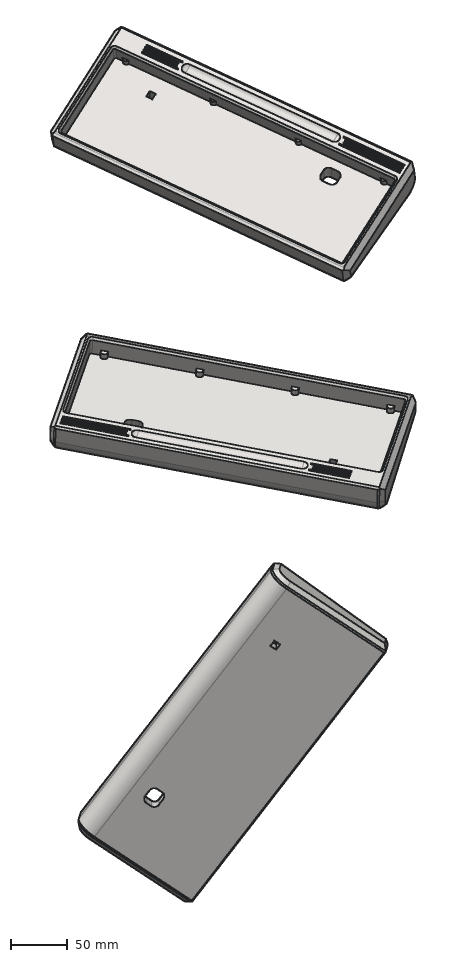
import cadquery as cq
import math

width = 304.0
tilt = 7.1
front_height = 21.0
top_depth = 124.5
back_bottom_radius = 16.7
side_chamfer = 5.0
side_edge_break = 1.03
back_chamfer = 1.8
bottom_chamfer = 1.0

pocket_side_wall = 8.8
pocket_front = 6.7
pocket_back = 102.5
pocket_depth = 18.5
pocket_corner_radius = 1.8
pocket_chamfer = 1.98

bevel_drop = 1.5
bevel_step = 3.0
bevel_step_drop = 0.35

post_radius = 3.3
post_height = 6.0
post_spacing = 86.5
posts_per_row = 4
front_post_reach = 4.3
back_post_reach = 2.0
back_left_post_shift = -2.0

square_hole_size = 6.0
square_hole_x = -96.0
square_hole_y = 85.7
port_length = 16.5
port_width = 14.5
port_radius = 5.0
port_x = 84.8
port_y = 88.0

strip_center = 113.7
groove_diameter = 13.0
groove_width = 9.5
groove_straight = 150.2
stripe_width = 1.0
stripe_depth = 1.0
stripe_pitch = 2.68
stripes_per_side = 4
stripe_inner_end = 81.8
short_stripe_inner_end = 84.5
right_stripe_outer_end = 143.5
left_stripe_outer_end = -118.5

slope_sin = math.sin(math.radians(tilt))
slope_cos = math.cos(math.radians(tilt))
top_plane = cq.Plane(
    origin=(0, 0, front_height), xDir=(1, 0, 0), normal=(0, -slope_sin, slope_cos)
)


def break_side_edges(body):
    """Chamfer the back and bottom edges where the end chamfers begin."""
    edge_x = width / 2 - side_chamfer
    tolerance = 0.3
    for x in (-edge_x, edge_x):
        back_and_bottom = cq.selectors.BoxSelector(
            (x - tolerance, top_depth / 4, -tolerance),
            (x + tolerance, top_depth * 2, front_height),
        )
        body = body.edges(back_and_bottom).chamfer(side_edge_break)
    return body


def make_body():
    back_top_y = top_depth * slope_cos
    back_top_z = front_height + top_depth * slope_sin
    lean = slope_sin / slope_cos
    body = (
        cq.Workplane("YZ")
        .polyline([
            (front_height * lean, 0),
            (0, front_height),
            (back_top_y, back_top_z),
            (back_top_y + back_top_z * lean, 0),
        ])
        .close()
        .extrude(width / 2, both=True)
    )
    body = body.edges("|X").edges(">Y").fillet(back_bottom_radius)
    body = body.faces("<X or >X").chamfer(side_chamfer)
    body = body.edges("|X").edges(">Z").chamfer(back_chamfer)
    body = break_side_edges(body)
    return body.faces("<Z").edges("|X").edges("<Y").chamfer(bottom_chamfer)


def make_front_bevel():
    rim = pocket_front - pocket_chamfer
    clearance = 3.0
    profile_plane = cq.Plane(
        origin=(0, 0, front_height), xDir=(0, slope_cos, slope_sin), normal=(1, 0, 0)
    )
    return (
        cq.Workplane(profile_plane)
        .polyline([
            (rim, 0),
            (bevel_step, -bevel_step_drop),
            (0, -bevel_drop),
            (-clearance, -bevel_drop),
            (-clearance, clearance),
            (rim, clearance),
        ])
        .close()
        .extrude(width / 2, both=True)
    )


def rounded_rectangle(length, depth, radius):
    return cq.Sketch().rect(length, depth).vertices().fillet(radius)


def make_pocket():
    length = width - 2 * pocket_side_wall
    depth = pocket_back - pocket_front
    center = cq.Workplane(top_plane).center(0, (pocket_front + pocket_back) / 2)
    outline = rounded_rectangle(length, depth, pocket_corner_radius)
    rim = rounded_rectangle(
        length + 2 * pocket_chamfer,
        depth + 2 * pocket_chamfer,
        pocket_corner_radius + pocket_chamfer,
    )
    pocket = center.placeSketch(outline).extrude(-pocket_depth)
    flare = center.placeSketch(rim).extrude(-pocket_chamfer, taper=45)
    return pocket.union(flare)


def make_posts():
    first_x = -post_spacing * (posts_per_row - 1) / 2
    columns = [first_x + i * post_spacing for i in range(posts_per_row)]
    front_y = pocket_front + front_post_reach - post_radius
    back_y = pocket_back - back_post_reach + post_radius
    places = [(x, front_y) for x in columns]
    places += [(x, back_y) for x in columns[1:]]
    places.append((first_x + back_left_post_shift, back_y))
    floor = cq.Workplane(top_plane).workplane(offset=-pocket_depth)
    return floor.pushPoints(places).circle(post_radius).extrude(post_height)


def make_floor_openings():
    square = (
        cq.Workplane("XY")
        .center(square_hole_x, square_hole_y)
        .rect(square_hole_size, square_hole_size)
        .extrude(front_height)
    )
    port = (
        cq.Workplane("XY")
        .center(port_x, port_y)
        .placeSketch(rounded_rectangle(port_length, port_width, port_radius))
        .extrude(front_height)
    )
    return square.union(port)


def make_pen_groove():
    """A round rod with ball ends, its axis a little above the top face."""
    radius = groove_diameter / 2
    axis_height = math.sqrt(radius**2 - (groove_width / 2) ** 2)
    axis_center = top_plane.toWorldCoords((0, strip_center, axis_height))
    half_length = groove_straight / 2
    rod = cq.Workplane("YZ", origin=axis_center).circle(radius).extrude(half_length, both=True)
    for x in (-half_length, half_length):
        rod = rod.union(cq.Workplane(origin=axis_center).center(x, 0).sphere(radius))
    return rod


def make_stripes():
    spans = []
    for row in range(stripes_per_side):
        y = strip_center + (row - (stripes_per_side - 1) / 2) * stripe_pitch
        is_outer_row = row in (0, stripes_per_side - 1)
        inner_end = stripe_inner_end if is_outer_row else short_stripe_inner_end
        spans.append((inner_end, right_stripe_outer_end, y))
        spans.append((left_stripe_outer_end, -inner_end, y))
    stripes = cq.Workplane(top_plane)
    for start, end, y in spans:
        stripes = stripes.moveTo((start + end) / 2, y).rect(end - start, stripe_width)
    return stripes.extrude(-stripe_depth)


result = (
    make_body()
    .cut(make_front_bevel())
    .cut(make_pocket())
    .union(make_posts())
    .cut(make_floor_openings())
    .cut(make_pen_groove())
    .cut(make_stripes())
)